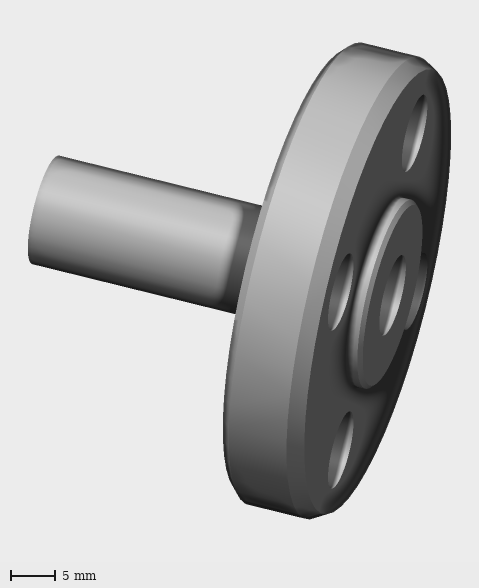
import cadquery as cq
import math

flange_diameter = 54.0
flange_back_x = 29.95
flange_front_x = 39.75
back_chamfer = 1.1
front_chamfer_length = 1.8
front_chamfer_depth = 1.0

pipe_diameter = 12.7
bore_diameter = 9.4
neck_radius = 4.0

total_length = 41.5
face_diameter = 22.1
face_chamfer = 0.5
face_root_radius = 0.3

bolt_hole_diameter = 9.0
bolt_hole_count = 4
bolt_circle_diameter = 36.95
first_bolt_angle = 45.0

flange_radius = flange_diameter / 2
pipe_radius = pipe_diameter / 2
face_radius = face_diameter / 2


def revolved_body():
    """Pipe, flared neck, flange and raised face as one solid of revolution."""
    neck_start_x = flange_back_x - neck_radius
    neck_mid_x = neck_start_x + neck_radius * math.sin(math.radians(45))
    neck_mid_r = pipe_radius + neck_radius * (1 - math.cos(math.radians(45)))
    return (
        cq.Workplane("XY")
        .moveTo(0, 0)
        .lineTo(0, pipe_radius)
        .lineTo(neck_start_x, pipe_radius)
        .threePointArc((neck_mid_x, neck_mid_r), (flange_back_x, pipe_radius + neck_radius))
        .lineTo(flange_back_x, flange_radius - back_chamfer)
        .lineTo(flange_back_x + back_chamfer, flange_radius)
        .lineTo(flange_front_x - front_chamfer_length, flange_radius)
        .lineTo(flange_front_x, flange_radius - front_chamfer_depth)
        .lineTo(flange_front_x, face_radius + face_root_radius)
        .radiusArc((flange_front_x + face_root_radius, face_radius), -face_root_radius)
        .lineTo(total_length - face_chamfer, face_radius)
        .lineTo(total_length, face_radius - face_chamfer)
        .lineTo(total_length, 0)
        .close()
        .revolve(360, (0, 0, 0), (1, 0, 0))
    )


def bore():
    return cq.Workplane("YZ").circle(bore_diameter / 2).extrude(total_length)


def bolt_holes():
    return (
        cq.Workplane("YZ")
        .polarArray(bolt_circle_diameter / 2, first_bolt_angle, 360, bolt_hole_count)
        .circle(bolt_hole_diameter / 2)
        .extrude(total_length)
    )


result = revolved_body().cut(bore()).cut(bolt_holes())